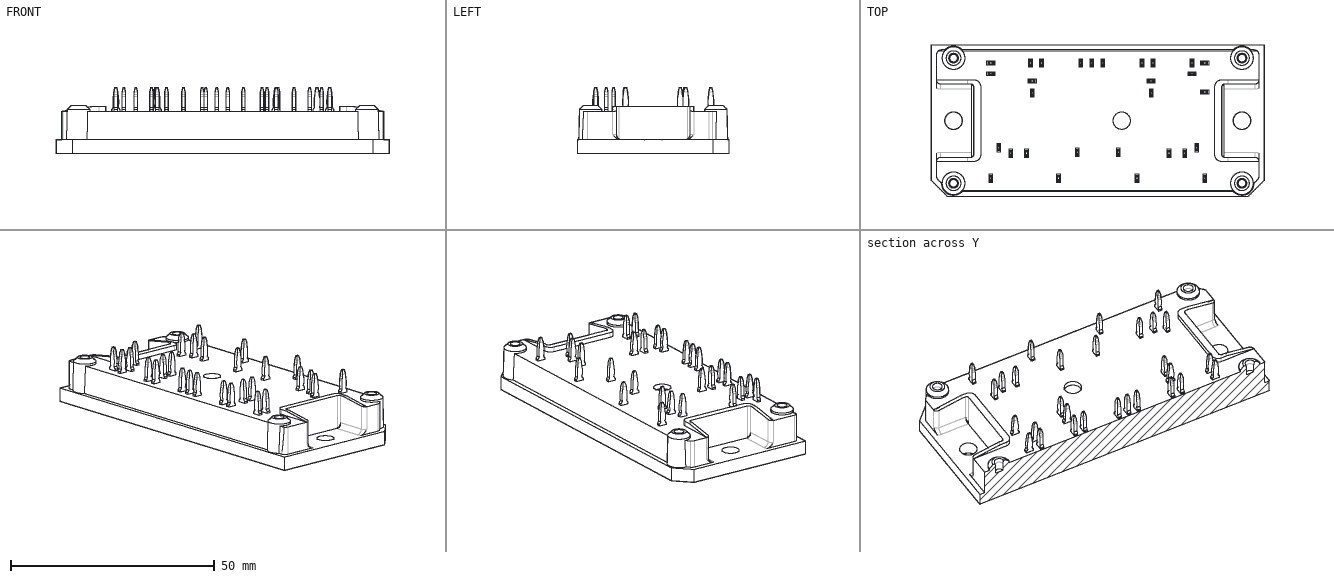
import cadquery as cq
import math

LENGTH = 82.0
WIDTH = 37.4
BASE_HEIGHT = 3.45
BASE_CHAMFER = 4.0
MOUNT_X = 35.5
MOUNT_DIAMETER = 4.3

HOUSING_LENGTH = 79.4
HOUSING_WIDTH = 34.9
HOUSING_TOP = 10.4
HOUSING_CHAMFER = 3.3
HOUSING_CORNER_RADIUS = 1.2
HOUSING_DRAFT = 2.5
DIMPLE_X = 5.9
DIMPLE_DIAMETER = 4.3
DIMPLE_DEPTH = 1.2

BAY_END_X = 30.6
BAY_WIDTH = 18.0
BAY_CORNER_RADIUS = 0.6
BAY_MOUTH_RADIUS = 1.0
COVE_RADIUS = 1.2
SLIT_WIDTH = 0.5
SLIT_LENGTH = 17.4

RIM_TOP = 11.65
RIM_SIDE_THICKNESS = 1.0
RIM_BACK_THICKNESS = 1.8
RIM_CORNER_RADIUS = 1.6
RIM_SLOPE_START_X = 32.1

POST_X = 35.5
POST_Y = 15.4
POST_BOTTOM_RADIUS = 2.95
POST_RADIUS = 2.8
POST_TIP_RADIUS = 1.8
POST_SHOULDER_Z = 10.9
POST_TOP = 11.9
POST_BORE_DIAMETER = 2.4
POST_BORE_FLOOR_DIAMETER = 1.9
POST_BORE_CONE_DEPTH = 1.0
POST_BORE_DEPTH = 3.3

PIN_TOP = 16.2
PIN_THICKNESS = 0.9
PIN_TIP_THICKNESS = 0.4
PIN_FOOT_WIDTH = 2.05
PIN_BLADE_WIDTH = 1.3
PIN_BULGE_WIDTH = 1.5
PIN_NECK_WIDTH = 1.1
PIN_TIP_WIDTH = 0.6
PIN_FOOT_Z = 10.8
PIN_BLADE_BOTTOM_Z = 11.4
PIN_BLADE_TOP_Z = 14.0
PIN_NECK_Z = 14.6
PIN_SHOULDER_Z = 15.2

PINS_ALONG_X = [
    (-26.3, 14.2), (26.3, 14.2),
    (-26.3, 11.6), (23.2, 11.6),
    (-16.15, 9.75), (13.1, 9.75),
    (26.3, 7.05),
]
PINS_ALONG_Y = [
    (-16.6, 14.2), (-13.85, 14.2), (-4.2, 14.2), (-1.5, 14.2),
    (1.2, 14.2), (10.9, 14.2), (13.6, 14.2), (23.2, 14.2),
    (-16.15, 6.8), (13.2, 6.8),
    (-24.35, -6.65), (24.35, -6.65),
    (-5.1, -7.8), (5.1, -7.8),
    (-21.4, -8.0), (-17.55, -8.0), (17.55, -8.0), (21.4, -8.0),
    (-26.3, -14.2), (-9.7, -14.2), (9.7, -14.2), (26.3, -14.2),
]


def box(x_range, y_range, z_range):
    """Axis-aligned box between the given limits."""
    (x0, x1), (y0, y1), (z0, z1) = x_range, y_range, z_range
    return cq.Workplane("XY", origin=(x0, y0, z0)).box(x1 - x0, y1 - y0, z1 - z0, centered=False)


def both_ends(left):
    """The given left-end body together with its mirror image at the right end."""
    return left.union(left.mirror("YZ"))


def chamfered_plate(length, width, chamfer, z):
    """Rectangle outline with the two corners on the -Y side cut off."""
    x = length / 2
    y = width / 2
    return cq.Workplane("XY", origin=(0, 0, z)).polyline(
        [(-x, y), (-x, chamfer - y), (chamfer - x, -y), (x - chamfer, -y), (x, chamfer - y), (x, y)]
    ).close()


def make_base():
    plate = chamfered_plate(LENGTH, WIDTH, BASE_CHAMFER, 0).extrude(BASE_HEIGHT)
    for x in (-MOUNT_X, MOUNT_X):
        plate = plate.cut(cq.Workplane("XY").center(x, 0).circle(MOUNT_DIAMETER / 2).extrude(BASE_HEIGHT))
    slit = box((-BAY_END_X - SLIT_WIDTH, -BAY_END_X), (-SLIT_LENGTH / 2, SLIT_LENGTH / 2), (0, BASE_HEIGHT))
    return plate.cut(both_ends(slit))


def make_housing():
    block = chamfered_plate(HOUSING_LENGTH, HOUSING_WIDTH, HOUSING_CHAMFER, BASE_HEIGHT)
    block = block.extrude(HOUSING_TOP - BASE_HEIGHT)
    block = block.edges("|Z").edges("<X or >X").fillet(HOUSING_CORNER_RADIUS)
    height = HOUSING_TOP - BASE_HEIGHT
    lean = height * math.tan(math.radians(HOUSING_DRAFT))
    half_width = HOUSING_WIDTH / 2
    drafted = (
        cq.Workplane("YZ", origin=(-LENGTH / 2, 0, 0))
        .polyline([
            (-half_width, BASE_HEIGHT), (half_width, BASE_HEIGHT),
            (half_width - lean, HOUSING_TOP), (lean - half_width, HOUSING_TOP),
        ])
        .close()
        .extrude(LENGTH)
    )
    return block.intersect(drafted)


def make_rim():
    """Left rim as a solid pad: flat around the bay's back, sloping down along its sides."""
    half_width = BAY_WIDTH / 2 + RIM_SIDE_THICKNESS
    back_x = RIM_BACK_THICKNESS - BAY_END_X
    outer_x = -HOUSING_LENGTH / 2
    pad = box((outer_x, back_x), (-half_width, half_width), (BASE_HEIGHT, RIM_TOP))
    pad = pad.edges("|Z and >X").fillet(RIM_CORNER_RADIUS)
    side = (
        cq.Workplane("XZ", origin=(0, half_width, 0))
        .polyline([
            (outer_x, BASE_HEIGHT), (outer_x, HOUSING_TOP), (-RIM_SLOPE_START_X, RIM_TOP),
            (back_x, RIM_TOP), (back_x, BASE_HEIGHT),
        ])
        .close()
        .extrude(2 * half_width)
    )
    return pad.intersect(side)


def make_bay():
    """Left bay as a cutter: rounded inner corners and a mouth that flares round."""
    half_width = BAY_WIDTH / 2
    mouth_x = -HOUSING_LENGTH / 2
    depth = RIM_TOP - BASE_HEIGHT
    pocket = box((mouth_x, -BAY_END_X), (-half_width, half_width), (BASE_HEIGHT, RIM_TOP))
    pocket = pocket.edges("|Z and >X").fillet(BAY_CORNER_RADIUS)
    flare_y = half_width + BAY_MOUTH_RADIUS
    flare = box((mouth_x, mouth_x + BAY_MOUTH_RADIUS), (-flare_y, flare_y), (BASE_HEIGHT, RIM_TOP))
    rounds = (
        cq.Workplane("XY", origin=(mouth_x + BAY_MOUTH_RADIUS, 0, BASE_HEIGHT))
        .pushPoints([(0, -flare_y), (0, flare_y)])
        .circle(BAY_MOUTH_RADIUS)
        .extrude(depth)
    )
    return pocket.union(flare.cut(rounds))


def make_coves():
    """Concave fillets between the floor and the side walls of the left bay."""
    wall_y = BAY_WIDTH / 2
    mouth_x = -HOUSING_LENGTH / 2
    bend_x = mouth_x + BAY_MOUTH_RADIUS
    bend_y = wall_y + BAY_MOUTH_RADIUS
    inner_y = wall_y - COVE_RADIUS
    top_z = BASE_HEIGHT + COVE_RADIUS
    sag = COVE_RADIUS * (1 - math.sqrt(0.5))

    def section(x):
        return (
            cq.Workplane("YZ", origin=(x, 0, 0))
            .moveTo(bend_y, BASE_HEIGHT)
            .lineTo(inner_y, BASE_HEIGHT)
            .threePointArc((wall_y - sag, BASE_HEIGHT + sag), (wall_y, top_z))
            .lineTo(bend_y, top_z)
            .close()
        )

    straight = section(bend_x).extrude(-BAY_END_X - SLIT_WIDTH - bend_x)
    bend = section(bend_x).revolve(360, (bend_y, BASE_HEIGHT, 0), (bend_y, top_z, 0))
    bend = bend.intersect(box((mouth_x, bend_x), (0, bend_y), (BASE_HEIGHT, top_z)))
    cove = straight.union(bend)
    return cove.union(cove.mirror("XZ"))


def make_post():
    """Corner post with a conical top and a countersunk blind bore, centred on the Z axis."""
    bore_radius = POST_BORE_DIAMETER / 2
    floor_radius = POST_BORE_FLOOR_DIAMETER / 2
    bore_floor_z = POST_TOP - POST_BORE_DEPTH
    return (
        cq.Workplane("XZ")
        .polyline([
            (0, BASE_HEIGHT), (POST_BOTTOM_RADIUS, BASE_HEIGHT), (POST_RADIUS, POST_SHOULDER_Z),
            (POST_TIP_RADIUS, POST_TOP), (bore_radius, POST_TOP),
            (floor_radius, POST_TOP - POST_BORE_CONE_DEPTH), (floor_radius, bore_floor_z),
            (0, bore_floor_z),
        ])
        .close()
        .revolve(360, (0, 0, 0), (0, 1, 0))
    )


def make_post_bore():
    """Clearance for the post bore."""
    depth = HOUSING_TOP - POST_TOP + POST_BORE_DEPTH
    return (
        cq.Workplane("XY", origin=(0, 0, HOUSING_TOP))
        .circle(POST_BORE_FLOOR_DIAMETER / 2)
        .extrude(-depth)
    )


def make_pin():
    """Pin with its blade along X, centred on the Z axis."""
    right = [
        (PIN_FOOT_WIDTH / 2, HOUSING_TOP), (PIN_FOOT_WIDTH / 2, PIN_FOOT_Z),
        (PIN_BLADE_WIDTH / 2, PIN_BLADE_BOTTOM_Z),
    ]
    tip = [
        (PIN_NECK_WIDTH / 2, PIN_NECK_Z), (PIN_NECK_WIDTH / 2, PIN_SHOULDER_Z),
        (PIN_TIP_WIDTH / 2, PIN_TOP),
    ]
    bulge_z = (PIN_BLADE_BOTTOM_Z + PIN_BLADE_TOP_Z) / 2
    outline = cq.Workplane("XZ", origin=(0, PIN_THICKNESS / 2, 0)).moveTo(0, HOUSING_TOP)
    for point in right:
        outline = outline.lineTo(*point)
    outline = outline.threePointArc((PIN_BULGE_WIDTH / 2, bulge_z), (PIN_BLADE_WIDTH / 2, PIN_BLADE_TOP_Z))
    for point in tip:
        outline = outline.lineTo(*point)
    half_blade = outline.lineTo(0, PIN_TOP).close().extrude(PIN_THICKNESS)
    blade = half_blade.union(half_blade.mirror("YZ"))
    thin = (
        cq.Workplane("YZ", origin=(-PIN_FOOT_WIDTH / 2, 0, 0))
        .polyline([
            (-PIN_THICKNESS / 2, HOUSING_TOP), (PIN_THICKNESS / 2, HOUSING_TOP),
            (PIN_THICKNESS / 2, PIN_SHOULDER_Z), (PIN_TIP_THICKNESS / 2, PIN_TOP),
            (-PIN_TIP_THICKNESS / 2, PIN_TOP), (-PIN_THICKNESS / 2, PIN_SHOULDER_Z),
        ])
        .close()
        .extrude(PIN_FOOT_WIDTH)
    )
    return blade.intersect(thin)


housing = make_housing().union(both_ends(make_rim())).cut(both_ends(make_bay()))
housing = housing.union(both_ends(make_coves()))
housing = housing.cut(
    cq.Workplane("XY", origin=(DIMPLE_X, 0, HOUSING_TOP)).circle(DIMPLE_DIAMETER / 2).extrude(-DIMPLE_DEPTH)
)
result = make_base().union(housing)

post = make_post()
post_bore = make_post_bore()
for x in (-POST_X, POST_X):
    for y in (-POST_Y, POST_Y):
        result = result.cut(post_bore.translate((x, y, 0))).union(post.translate((x, y, 0)))

pin_along_x = make_pin()
pin_along_y = pin_along_x.rotate((0, 0, 0), (0, 0, 1), 90)
for x, y in PINS_ALONG_X:
    result = result.union(pin_along_x.translate((x, y, 0)))
for x, y in PINS_ALONG_Y:
    result = result.union(pin_along_y.translate((x, y, 0)))